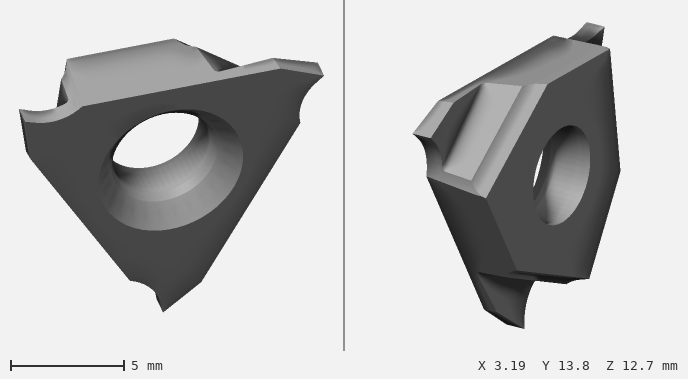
import cadquery as cq
import math


corner_count = 3
thickness = 3.19
inscribed_radius = 4.73
straight_depth = 0.51
taper_angle = 4.0

bore_radius = 2.26
bore_depth = 1.82
lead_radius, lead_depth = 2.44, 2.23
countersink_radius = 3.34

tip_across, tip_up = 6.72, 4.29
end_angle = 6.6
flute_radius = 2.15
flute_center = (5.52, 6.15)
flute_end_angle = 19.0
clearance = 11.03

groove_angle = 7.7
face_offset = 4.43
bevel_offset, bevel_depth = 4.56, 0.41
wall_offset, wall_depth = 4.88, 0.83
overcut = 0.14
wall_slope = 0.06
shoulder_mid = (0.65, 4.69)
lug_depth = 2.62
root_run = -0.55
root_offset = 5.19
root_radius = 0.17
break_offset = 6.73
floor_slope = 0.06
tip_floor_slope = 0.1
upper_groove_depth = 1.79
wall_top = 1.65
root_mid_ratio = 0.3
run_slope = 0.065


def plan_plane():
    return cq.Workplane(cq.Plane(origin=(0, 0, 0), xDir=(0, -1, 0), normal=(-1, 0, 0)))


def tapered_triangle():
    """Triangle with straight rims at the face and inward taper behind them."""
    side_diameter = 4 * inscribed_radius
    plane = cq.Plane(origin=(0, 0, 0), xDir=(0, 0, -1), normal=(1, 0, 0))
    rim = cq.Workplane(plane).polygon(corner_count, side_diameter).extrude(straight_depth)
    taper = (
        cq.Workplane(plane)
        .workplane(offset=straight_depth)
        .polygon(corner_count, side_diameter)
        .extrude(thickness - straight_depth, taper=taper_angle)
    )
    return rim.union(taper)


def corner_cutter():
    """Material removed outside one corner: the flute arc, the tip and the end edge."""
    def flute_point(angle):
        a = math.radians(angle)
        return (flute_center[0] + flute_radius * math.cos(a), flute_center[1] + flute_radius * math.sin(a))

    end_across = tip_across - tip_up * math.tan(math.radians(end_angle))
    return (
        plan_plane()
        .moveTo(*flute_point(180))
        .threePointArc(flute_point(225), flute_point(270 + flute_end_angle))
        .lineTo(tip_across, tip_up)
        .lineTo(end_across, 0)
        .lineTo(clearance, 0)
        .lineTo(clearance, flute_center[1])
        .close()
        .extrude(-thickness)
    )


def groove_plane(run):
    """Plane across the groove: local x is depth, local y is the outward offset."""
    a = math.radians(groove_angle)
    return cq.Plane(
        origin=(0, run * math.sin(a), run * math.cos(a)),
        xDir=(1, 0, 0),
        normal=(0, -math.sin(a), -math.cos(a)),
    )


def sweep_along_groove(outline, tilt):
    """Extrude a groove outline, sinking by tilt per unit of travel within the wall plane."""
    plane = groove_plane(clearance)
    direction = plane.zDir + (plane.xDir + plane.yDir * wall_slope) * tilt
    wire = outline(plane).val()
    return cq.Workplane(cq.Solid.extrudeLinear(wire, [], direction * (2 * clearance)))


def wall_point(depth):
    return (depth, wall_offset + wall_slope * (depth - wall_depth))


def upper_groove():
    """Bevel, concave shoulder and upper wall, level along the run."""
    def outline(plane):
        bevel_slope = (bevel_offset - face_offset) / bevel_depth
        above = -overcut
        return (
            cq.Workplane(plane)
            .moveTo(above, face_offset + bevel_slope * above)
            .lineTo(bevel_depth, bevel_offset)
            .threePointArc(shoulder_mid, (wall_depth, wall_offset))
            .lineTo(*wall_point(upper_groove_depth))
            .lineTo(upper_groove_depth, clearance)
            .lineTo(above, clearance)
            .close()
        )
    return sweep_along_groove(outline, 0)


def lower_groove():
    """Lower wall, rounded root and lug floor, tilted along the run."""
    shift = -run_slope * (clearance - root_run)
    start_offset_shift = wall_slope * shift

    def floor_depth(offset):
        beyond_break = max(0, offset - break_offset)
        return (
            lug_depth
            - floor_slope * (offset - root_offset)
            - (tip_floor_slope - floor_slope) * beyond_break
        )

    def outline(plane):
        root_start = wall_point(lug_depth - root_radius)
        root_end = (floor_depth(root_offset), root_offset)
        root_mid = (lug_depth - root_radius * root_mid_ratio, root_start[1] + root_radius * root_mid_ratio)
        profile = [wall_point(wall_top), root_start, root_mid, root_end]
        profile += [(floor_depth(w), w) for w in (break_offset, clearance)]
        profile += [(wall_top, clearance)]
        top, start, mid, end, *rest = [(d + shift, w + start_offset_shift) for d, w in profile]
        return (
            cq.Workplane(plane)
            .moveTo(*top)
            .lineTo(*start)
            .threePointArc(mid, end)
            .polyline(rest, includeCurrent=True)
            .close()
        )
    return sweep_along_groove(outline, run_slope)


def bore():
    """Revolved bore about the X axis."""
    return (
        cq.Workplane("XY")
        .polyline([
            (0, 0),
            (0, bore_radius),
            (bore_depth, bore_radius),
            (lead_depth, lead_radius),
            (thickness, countersink_radius),
            (thickness, 0),
        ])
        .close()
        .revolve(360, (0, 0, 0), (1, 0, 0))
    )


body = tapered_triangle().cut(bore())
corner_cuts = [corner_cutter(), upper_groove(), lower_groove()]

for turn in range(corner_count):
    for corner_cut in corner_cuts:
        body = body.cut(corner_cut.rotate((0, 0, 0), (1, 0, 0), turn * 360 / corner_count))

result = body